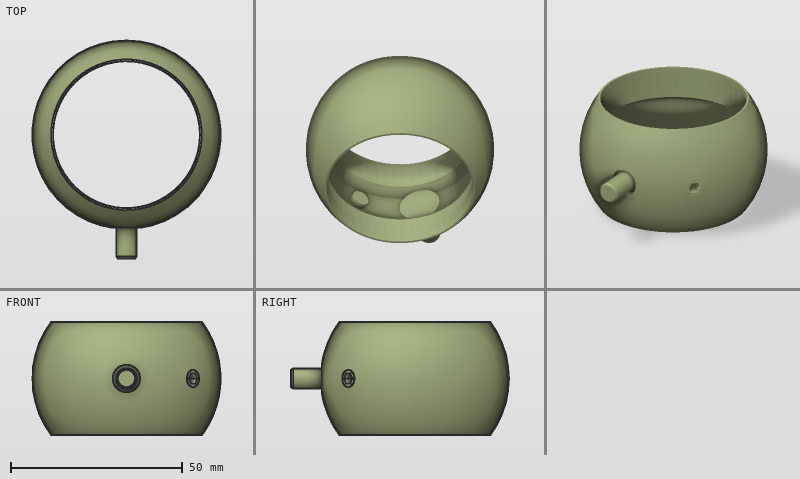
import cadquery as cq
import math

OVERALL_LENGTH = 63.7

BALL_DIAMETER = 55.0
HOUSING_HEIGHT = 33.0
BORE_DIAMETER = 42.8
GROOVE_DIAMETER = 49.0
GROOVE_MOUTH_HEIGHT = 14.0
GROOVE_FLANK_ANGLE = 30.0

PIN_DIAMETER = 6.0
PIN_TIP_DIAMETER = 5.0
PIN_TIP_CHAMFER_LENGTH = 0.65
PIN_HEAD_DIAMETER = 12.0
PIN_HOLE_DIAMETER = 8.0
PIN_REACH = OVERALL_LENGTH - BALL_DIAMETER / 2
PIN_NECK_REACH = 25.7

SCREW_DIAMETER = 5.0
SCREW_LENGTH = 5.0
SCREW_ANGLE = -45.0
SOCKET_ACROSS_FLATS = 3.0
SOCKET_DEPTH = 3.5

ball_radius = BALL_DIAMETER / 2
half_height = HOUSING_HEIGHT / 2
bore_radius = BORE_DIAMETER / 2
groove_radius = GROOVE_DIAMETER / 2
pin_radius = PIN_DIAMETER / 2
pin_tip_radius = PIN_TIP_DIAMETER / 2
pin_head_radius = PIN_HEAD_DIAMETER / 2

pin_head_reach = PIN_NECK_REACH - (pin_head_radius - pin_radius)


def radial_plane(angle, distance):
    """Plane facing outward from the Z axis; its local X axis lies level."""
    direction = cq.Vector(math.cos(math.radians(angle)), math.sin(math.radians(angle)), 0)
    level = cq.Vector(-direction.y, direction.x, 0)
    return cq.Plane(origin=direction * distance, xDir=level, normal=direction)


def make_ring():
    """Revolve the wall section, with its spherical outside and sloped groove flanks."""
    rim_radius = math.sqrt(ball_radius**2 - half_height**2)
    mouth = GROOVE_MOUTH_HEIGHT / 2
    flank_rise = (groove_radius - bore_radius) * math.tan(math.radians(GROOVE_FLANK_ANGLE))
    floor = mouth - flank_rise
    return (
        cq.Workplane("XZ")
        .moveTo(bore_radius, -half_height)
        .lineTo(rim_radius, -half_height)
        .threePointArc((ball_radius, 0), (rim_radius, half_height))
        .lineTo(bore_radius, half_height)
        .lineTo(bore_radius, mouth)
        .lineTo(groove_radius, floor)
        .lineTo(groove_radius, -floor)
        .lineTo(bore_radius, -mouth)
        .close()
        .revolve(360, (0, 0, 0), (0, 1, 0))
    )


def make_pin():
    """Revolve the pin about the Y axis: conical head, shank and chamfered tip."""
    return (
        cq.Workplane("XY")
        .moveTo(0, -pin_head_reach)
        .lineTo(pin_head_radius, -pin_head_reach)
        .lineTo(pin_radius, -PIN_NECK_REACH)
        .lineTo(pin_radius, -PIN_REACH + PIN_TIP_CHAMFER_LENGTH)
        .lineTo(pin_tip_radius, -PIN_REACH)
        .lineTo(0, -PIN_REACH)
        .close()
        .revolve(360, (0, 0, 0), (0, 1, 0))
    )


def make_screw_blank():
    """Plain cylinder of the set screw, its outer face touching the ball surface."""
    inner_end = radial_plane(SCREW_ANGLE, ball_radius - SCREW_LENGTH)
    return cq.Workplane(inner_end).circle(SCREW_DIAMETER / 2).extrude(SCREW_LENGTH)


def make_set_screw():
    """Set screw with a hexagon socket that has flats at top and bottom."""
    across_corners = SOCKET_ACROSS_FLATS / math.cos(math.radians(30))
    outer_face = radial_plane(SCREW_ANGLE, ball_radius)
    socket = cq.Workplane(outer_face).polygon(6, across_corners).extrude(-SOCKET_DEPTH)
    return make_screw_blank().cut(socket)


def make_housing(pin):
    """Ring with the clearance hole and seat for the pin and the hole for the set screw."""
    pin_hole_start = radial_plane(-90, pin_head_reach)
    pin_hole = (
        cq.Workplane(pin_hole_start)
        .circle(PIN_HOLE_DIAMETER / 2)
        .extrude(ball_radius - pin_head_reach)
    )
    return make_ring().cut(pin_hole).cut(pin).cut(make_screw_blank())


pin = make_pin()
set_screw = make_set_screw()
housing = make_housing(pin)

bodies = [housing, pin, set_screw]
result = cq.Compound.makeCompound([body.solids().val() for body in bodies])